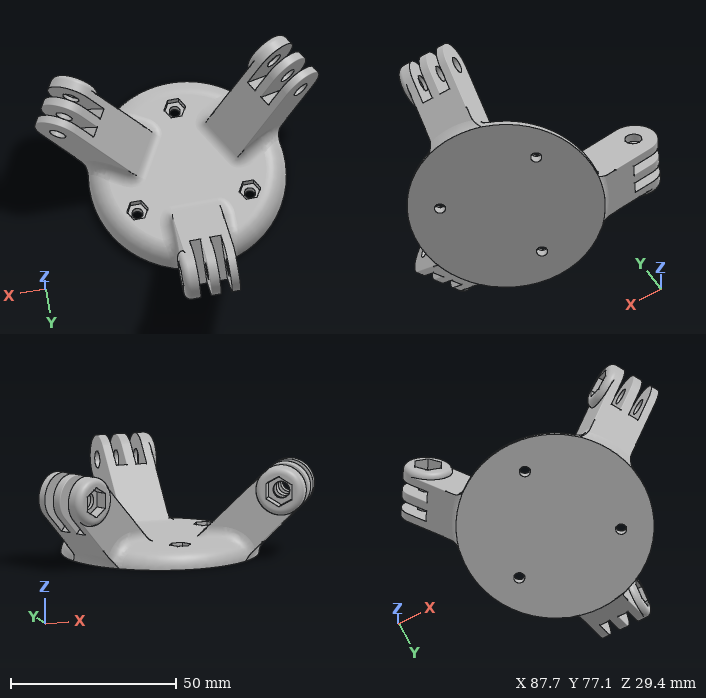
import cadquery as cq
import math

BASE_RADIUS = 30.0
BASE_HEIGHT = 6.0

ARM_SPACING = 120.0
ARM_LEAN = 45.0
ARM_WIDTH = 15.0
ARM_THICKNESS = 15.0
ARM_END_RADIUS = ARM_THICKNESS / 2
OVERALL_HEIGHT = 29.39
PIVOT_RADIUS = 38.9
PIVOT_HEIGHT = OVERALL_HEIGHT - ARM_END_RADIUS
ARM_LENGTH = PIVOT_HEIGHT / math.sin(math.radians(ARM_LEAN)) + ARM_THICKNESS
ARM_EDGE_FILLET = 0.25
ROOT_FILLET = 4.0

CORNER_AXIS_X = ARM_WIDTH / 2 - ARM_EDGE_FILLET
CORNER_AXIS_Y = (
    PIVOT_RADIUS
    - (PIVOT_HEIGHT - BASE_HEIGHT - ROOT_FILLET) / math.tan(math.radians(ARM_LEAN))
    - (ARM_END_RADIUS - ARM_EDGE_FILLET) / math.sin(math.radians(ARM_LEAN))
)
CORNER_STEPS = 8
BLEND_OVERLAP = 1.0

MIDDLE_FINGER = 3.0
SLOT_WIDTH = 3.3
FINGER_OVERLAP = 1.0
SLOT_DEPTH_BELOW_PIVOT = 7.5
PIVOT_HOLE_DIAMETER = 5.1

BOSS_HEIGHT = 2.0
BOSS_EDGE_FILLET = 2.0
BOSS_NUT_FLATS = 8.0
BOSS_NUT_DEPTH = 3.5

MOUNT_CIRCLE_RADIUS = 20.0
MOUNT_HOLE_DIAMETER = 3.3
MOUNT_NUT_FLATS = 5.7
MOUNT_NUT_DEPTH = 3.0

NOSE_DEPTH = 3.0
SPACE_SIZE = 200.0


def across_corners(flats):
    return flats / math.cos(math.radians(30))


def for_each_arm(shape):
    """Join copies for the rear, right and left arms; the left one mirrors the right one."""
    right = shape.rotate((0, 0, 0), (0, 0, 1), -ARM_SPACING)
    left = right.mirror("YZ")
    return shape.union(right).union(left)


def place_on_arm(shape):
    """Move a shape from the arm's own frame (pivot on the X axis, tip toward +Y) to the +Y arm."""
    leaned = shape.rotate((0, 0, 0), (1, 0, 0), ARM_LEAN)
    return leaned.translate((0, PIVOT_RADIUS, PIVOT_HEIGHT))


def make_base_blank():
    """Disc whose rim is an arc of radius BASE_HEIGHT, centred at Z = 0 and carried down to -NOSE_DEPTH."""
    flat_radius = BASE_RADIUS - BASE_HEIGHT
    nose_angle = math.asin(NOSE_DEPTH / BASE_HEIGHT)
    middle_angle = (math.pi / 2 - nose_angle) / 2
    arc_middle = (flat_radius + BASE_HEIGHT * math.cos(middle_angle), BASE_HEIGHT * math.sin(middle_angle))
    arc_end = (flat_radius + BASE_HEIGHT * math.cos(nose_angle), -NOSE_DEPTH)
    return (
        cq.Workplane("XZ")
        .moveTo(0, BASE_HEIGHT)
        .lineTo(flat_radius, BASE_HEIGHT)
        .threePointArc(arc_middle, arc_end)
        .lineTo(0, -NOSE_DEPTH)
        .close()
        .revolve(360, (0, 0, 0), (0, 1, 0))
        .rotate((0, 0, 0), (0, 0, 1), -90)
    )


def upper_space(bottom):
    """Large block above a given height, used to trim shapes flat."""
    return cq.Workplane("XY").workplane(offset=bottom).rect(SPACE_SIZE, SPACE_SIZE).extrude(SPACE_SIZE)


def make_round_ended_bar(width, length):
    """Bar along Y, centred on X, whose far end is rounded about the pivot."""
    bar = cq.Workplane("XY").box(width, length, ARM_THICKNESS).translate((0, -length / 2, 0))
    tip = cq.Workplane("YZ").circle(ARM_END_RADIUS).extrude(width / 2, both=True)
    return bar.union(tip)


def make_sharp_arm():
    return make_round_ended_bar(ARM_WIDTH, ARM_LENGTH)


def make_arm():
    return place_on_arm(make_sharp_arm()).intersect(upper_space(-NOSE_DEPTH))


def make_rounded_arm():
    return place_on_arm(make_sharp_arm().edges("|Y").fillet(ARM_EDGE_FILLET))


def make_boss():
    start = ARM_WIDTH / 2 - ARM_EDGE_FILLET
    length = BOSS_HEIGHT + ARM_EDGE_FILLET
    boss = cq.Workplane("YZ").workplane(offset=start).circle(ARM_END_RADIUS).extrude(length)
    return place_on_arm(boss.faces(">X").edges().fillet(BOSS_EDGE_FILLET))


def make_clevis_gap():
    """Opening between the two outer fingers."""
    length = SLOT_DEPTH_BELOW_PIVOT + 2 * ARM_END_RADIUS
    gap = cq.Workplane("XY").box(MIDDLE_FINGER + 2 * SLOT_WIDTH, length, 2 * ARM_THICKNESS)
    return place_on_arm(gap.translate((0, length / 2 - SLOT_DEPTH_BELOW_PIVOT, 0)))


def make_middle_finger():
    length = SLOT_DEPTH_BELOW_PIVOT + FINGER_OVERLAP
    finger = make_round_ended_bar(MIDDLE_FINGER, length).edges("|Y").fillet(ARM_EDGE_FILLET)
    return place_on_arm(finger)


def make_pivot_cut():
    hole = cq.Workplane("YZ").circle(PIVOT_HOLE_DIAMETER / 2).extrude(ARM_WIDTH, both=True)
    nut = (
        cq.Workplane("YZ")
        .workplane(offset=ARM_WIDTH / 2 + BOSS_HEIGHT - BOSS_NUT_DEPTH)
        .polygon(6, across_corners(BOSS_NUT_FLATS))
        .extrude(BOSS_NUT_DEPTH)
        .rotate((0, 0, 0), (1, 0, 0), 90 - ARM_LEAN)
    )
    return place_on_arm(hole.union(nut))


def make_mount_cut():
    hole = cq.Workplane("XY").circle(MOUNT_HOLE_DIAMETER / 2).extrude(BASE_HEIGHT)
    nut = (
        cq.Workplane("XY")
        .workplane(offset=BASE_HEIGHT - MOUNT_NUT_DEPTH)
        .polygon(6, across_corners(MOUNT_NUT_FLATS))
        .extrude(MOUNT_NUT_DEPTH)
    )
    return hole.union(nut).translate((0, -MOUNT_CIRCLE_RADIUS, 0))


def blend_roots(body):
    """Fillet the edges where the arms meet the base, leaving out the base's own circular edges."""
    half = SPACE_SIZE / 2
    margin = 0.1
    root_zone = cq.selectors.BoxSelector(
        (-half, -half, margin - NOSE_DEPTH), (half, half, BASE_HEIGHT + margin), boundingbox=True
    )
    return body.edges(root_zone).edges("not(%CIRCLE)").fillet(ROOT_FILLET)


def corner_section(turn):
    """Closed section of the root blend where a ball rolls round the arm's inner edge.

    At turn 0 the ball has left the arm's side face, at turn 90 it reaches the arm's inner face.
    """
    lean = math.radians(ARM_LEAN)
    angle = math.radians(turn)
    reach = ARM_EDGE_FILLET + ROOT_FILLET
    ball = cq.Vector(
        CORNER_AXIS_X + reach * math.cos(angle),
        CORNER_AXIS_Y - reach / math.sin(lean) * math.sin(angle),
        BASE_HEIGHT + ROOT_FILLET,
    )
    outward = cq.Vector(
        math.cos(angle), -math.sin(angle) * math.sin(lean), math.sin(angle) * math.cos(lean)
    )
    down = cq.Vector(0, 0, -1)
    arm_contact = ball - outward * ROOT_FILLET
    base_contact = ball + down * ROOT_FILLET
    arc_middle = ball + (down - outward).normalized() * ROOT_FILLET
    buried = arm_contact - outward * BLEND_OVERLAP
    buried = cq.Vector(buried.x, buried.y, BASE_HEIGHT - BLEND_OVERLAP)
    return cq.Wire.assembleEdges(
        [
            cq.Edge.makeThreePointArc(arm_contact, arc_middle, base_contact),
            cq.Edge.makeLine(base_contact, buried),
            cq.Edge.makeLine(buried, arm_contact),
        ]
    )


def make_inner_blend():
    """Root blend along the arm's inner face and round its two inner corners."""
    turns = [90 * step / CORNER_STEPS for step in range(CORNER_STEPS + 1)]
    corner = cq.Workplane(cq.Solid.makeLoft([corner_section(turn) for turn in turns]))
    strip = cq.Workplane(
        cq.Solid.extrudeLinear(corner_section(90), [], cq.Vector(-2 * CORNER_AXIS_X, 0, 0))
    )
    return strip.union(corner).union(corner.mirror("YZ"))


def make_inner_trim():
    """Material above the base to remove: the arm's sharp edges and the mitred inner root corners."""
    front = (
        cq.Workplane("XY")
        .box(ARM_WIDTH + 4 * ROOT_FILLET, CORNER_AXIS_Y / 2, 2 * ROOT_FILLET, centered=(True, False, False))
        .translate((0, CORNER_AXIS_Y / 2, BASE_HEIGHT))
    )
    sharp = place_on_arm(make_sharp_arm()).intersect(upper_space(BASE_HEIGHT))
    return front.union(sharp).cut(make_rounded_arm())


body = blend_roots(make_base_blank().union(for_each_arm(make_arm())))
body = body.cut(for_each_arm(make_inner_trim()))
body = body.union(for_each_arm(make_inner_blend()))
body = body.intersect(upper_space(0))
body = body.union(for_each_arm(make_boss()))
body = body.cut(for_each_arm(make_clevis_gap()))
body = body.union(for_each_arm(make_middle_finger()))
body = body.cut(for_each_arm(make_pivot_cut()))
result = body.cut(for_each_arm(make_mount_cut()))